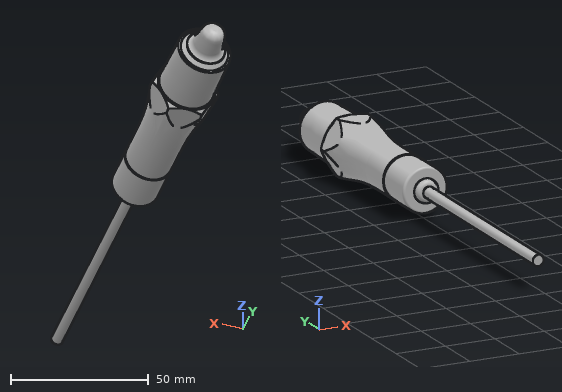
import cadquery as cq
import math

TOTAL_LENGTH = 189.1

TIP_FLAT_RADIUS = 2.3 / 2
TIP_RADIUS = 9.3 / 2
TIP_ROUNDING = TIP_RADIUS - TIP_FLAT_RADIUS

BOOT_TAPER_END = 8.3
BOOT_TAPER_RADIUS = 5.5
BOOT_FLARE_MIDDLE = 9.9
BOOT_FLARE_MIDDLE_RADIUS = 6.0
BOOT_END = 11.1
BOOT_END_RADIUS = 14.5 / 2

COLLAR_END_RADIUS = 18 / 2
COLLAR_LAND = 0.3
COLLAR_END = BOOT_END + COLLAR_LAND + COLLAR_END_RADIUS - BOOT_END_RADIUS

BARREL_FRONT_RADIUS = 20 / 2
BARREL_REAR_RADIUS = 20.9 / 2

NUT_START = 34.4
HEX_SIDES = 6
ACROSS_FLATS = 22.0
NUT_CORNER_RADIUS = ACROSS_FLATS / 2 / math.cos(math.pi / HEX_SIDES)
NUT_CHAMFER = NUT_CORNER_RADIUS - ACROSS_FLATS / 2

SLEEVE_RADIUS = 18 / 2
SLEEVE_START = 65.6
FLARE_RADIUS = 100.0
GROOVE_START = 79.8
GROOVE_WIDTH = 0.2
GROOVE_DEPTH = 0.2
CAP_END = 96.5
CAP_ROUNDING = 1.0

GROMMET_RADIUS = 9.3 / 2
GROMMET_END_RADIUS = 5.3 / 2
GROMMET_ROUNDING = GROMMET_RADIUS - GROMMET_END_RADIUS
GROMMET_END = 99.1
STEM_RADIUS = 4.53 / 2


def at(radius, station):
    """Profile point in the YZ plane."""
    return (-station, radius)


def turn(profile):
    """Revolve a closed half profile about the Y axis."""
    return profile.close().revolve(360, (0, 0, 0), (1, 0, 0))


def rounded_edge(profile, inner_radius, end_station, rounding):
    """Quarter round from the side of a cylinder to its rear end face."""
    reach = rounding * math.sqrt(0.5)
    middle = at(inner_radius + reach, end_station - rounding + reach)
    return profile.threePointArc(middle, at(inner_radius, end_station))


def make_front():
    """Boot, collar and barrel in front of the nut."""
    diagonal = TIP_ROUNDING * math.sqrt(0.5)
    profile = (
        cq.Workplane("YZ")
        .moveTo(*at(0, 0))
        .lineTo(*at(TIP_FLAT_RADIUS, 0))
        .threePointArc(
            at(TIP_FLAT_RADIUS + diagonal, TIP_ROUNDING - diagonal),
            at(TIP_RADIUS, TIP_ROUNDING),
        )
        .lineTo(*at(BOOT_TAPER_RADIUS, BOOT_TAPER_END))
        .threePointArc(
            at(BOOT_FLARE_MIDDLE_RADIUS, BOOT_FLARE_MIDDLE),
            at(BOOT_END_RADIUS, BOOT_END),
        )
        .lineTo(*at(BOOT_END_RADIUS, BOOT_END + COLLAR_LAND))
        .lineTo(*at(COLLAR_END_RADIUS, COLLAR_END))
        .lineTo(*at(BARREL_FRONT_RADIUS, COLLAR_END))
        .lineTo(*at(BARREL_REAR_RADIUS, NUT_START))
        .lineTo(*at(0, NUT_START))
    )
    return turn(profile)


def flare_point(radius):
    """Point on the concave flare, which leaves the sleeve tangentially."""
    rise = radius - SLEEVE_RADIUS
    run = math.sqrt(FLARE_RADIUS**2 - (FLARE_RADIUS - rise) ** 2)
    return at(radius, SLEEVE_START - run)


def make_nut():
    """Chamfered, flared body trimmed by the six flats."""
    flare_middle_radius = (SLEEVE_RADIUS + NUT_CORNER_RADIUS) / 2
    profile = (
        cq.Workplane("YZ")
        .moveTo(*at(0, NUT_START))
        .lineTo(*at(ACROSS_FLATS / 2, NUT_START))
        .lineTo(*at(NUT_CORNER_RADIUS, NUT_START + NUT_CHAMFER))
        .lineTo(*flare_point(NUT_CORNER_RADIUS))
        .threePointArc(flare_point(flare_middle_radius), at(SLEEVE_RADIUS, SLEEVE_START))
        .lineTo(*at(0, SLEEVE_START))
    )
    hexagon = (
        cq.Workplane("XZ", origin=(0, -NUT_START, 0))
        .polygon(HEX_SIDES, 2 * NUT_CORNER_RADIUS)
        .extrude(SLEEVE_START - NUT_START)
    )
    return turn(profile).intersect(hexagon)


def make_rear():
    """Sleeve, cap, grommet and stem behind the nut."""
    groove_radius = SLEEVE_RADIUS - GROOVE_DEPTH
    groove_end = GROOVE_START + GROOVE_WIDTH
    profile = (
        cq.Workplane("YZ")
        .moveTo(*at(0, SLEEVE_START))
        .lineTo(*at(SLEEVE_RADIUS, SLEEVE_START))
        .lineTo(*at(SLEEVE_RADIUS, GROOVE_START))
        .lineTo(*at(groove_radius, GROOVE_START))
        .lineTo(*at(groove_radius, groove_end))
        .lineTo(*at(SLEEVE_RADIUS, groove_end))
        .lineTo(*at(SLEEVE_RADIUS, CAP_END - CAP_ROUNDING))
    )
    profile = rounded_edge(profile, SLEEVE_RADIUS - CAP_ROUNDING, CAP_END, CAP_ROUNDING)
    profile = profile.lineTo(*at(GROMMET_RADIUS, CAP_END))
    profile = profile.lineTo(*at(GROMMET_RADIUS, GROMMET_END - GROMMET_ROUNDING))
    profile = rounded_edge(profile, GROMMET_END_RADIUS, GROMMET_END, GROMMET_ROUNDING)
    profile = (
        profile.lineTo(*at(STEM_RADIUS, GROMMET_END))
        .lineTo(*at(STEM_RADIUS, TOTAL_LENGTH))
        .lineTo(*at(0, TOTAL_LENGTH))
    )
    return turn(profile)


result = make_front().union(make_nut()).union(make_rear())